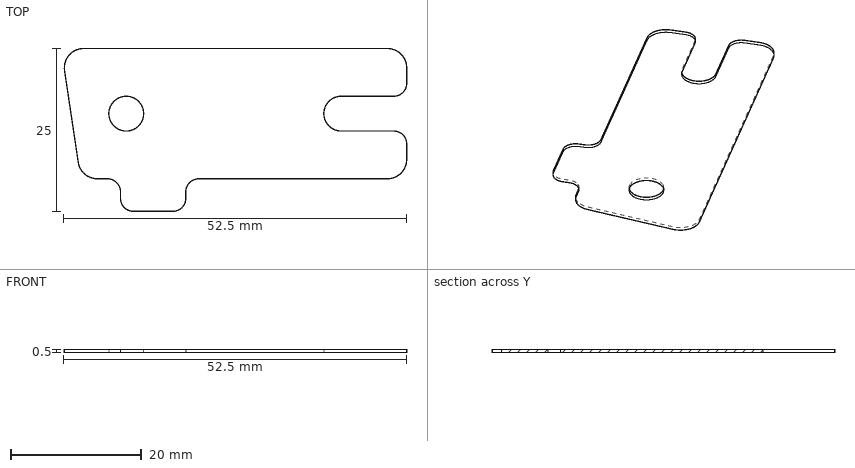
import cadquery as cq
import math

length = 52.5
body_height = 20.0
thickness = 0.5
mid_height = body_height / 2

body_radius = 3.0
small_radius = 2.0

slant_angle = math.radians(8.5)

tab_left = 8.6
tab_width = 10.05
tab_depth = 5.0
tab_right = tab_left + tab_width

hole_diameter = 5.3
hole_x = 9.5
slot_width = 5.3
slot_end = 39.8

top_left = body_radius * (1 - 1 / math.cos(slant_angle) - math.tan(slant_angle))
bottom_left = top_left + body_height * math.tan(slant_angle)


def round_corners(solid, points, radius):
    """Fillet the vertical edges that stand at the given XY points."""
    reach = 0.05
    for x, y in points:
        box = cq.selectors.BoxSelector(
            (x - reach, y - reach, -reach), (x + reach, y + reach, thickness + reach)
        )
        solid = solid.edges("|Z").edges(box).fillet(radius)
    return solid


def make_blank():
    """Plate with slanted left edge, tab and rounded outer corners."""
    body_corners = [(bottom_left, 0), (top_left, body_height), (length, body_height), (length, 0)]
    tab_corners = [(tab_right, 0), (tab_right, -tab_depth), (tab_left, -tab_depth), (tab_left, 0)]
    outline = tab_corners + body_corners
    blank = cq.Workplane("XY").polyline(outline).close().extrude(thickness)
    blank = round_corners(blank, body_corners, body_radius)
    return round_corners(blank, tab_corners, small_radius)


def cut_slot(plate):
    """Cut the round-ended slot and round its mouth at the right edge."""
    slot_radius = slot_width / 2
    arc_centre = slot_end + slot_radius
    cutter = (
        cq.Workplane("XY")
        .moveTo(length, mid_height - slot_radius)
        .lineTo(arc_centre, mid_height - slot_radius)
        .threePointArc((slot_end, mid_height), (arc_centre, mid_height + slot_radius))
        .lineTo(length, mid_height + slot_radius)
        .close()
        .extrude(thickness)
    )
    mouth_corners = [(length, mid_height - slot_radius), (length, mid_height + slot_radius)]
    return round_corners(plate.cut(cutter), mouth_corners, small_radius)


def cut_hole(plate):
    """Drill the round hole through the plate."""
    drill = cq.Workplane("XY").center(hole_x, mid_height).circle(hole_diameter / 2).extrude(thickness)
    return plate.cut(drill)


result = cut_hole(cut_slot(make_blank()))